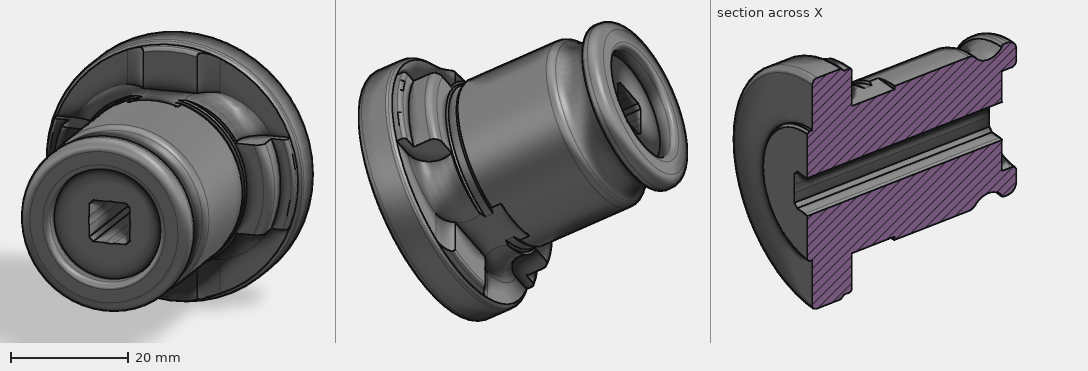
import cadquery as cq
import math

length = 44.5
flange_back = 43.48
flange_front = 36.65
pad_front = 34.95
lug_front = 30.25
neck_front = 27.83
flat_front = 25.97
groove_station = 5.95
rim_back = 3.2

boss_radius = 13.05
flange_radius = 23.15
pad_radius = 22.45
lug_radius = 19.9
neck_radius = 15.15
body_radius = 15.45
rim_radius = 15.33
groove_floor_radius = 13.45

boss_chamfer = 0.45
flange_back_fillet = 1.05
flange_front_chamfer = 0.5
pad_fillet = 0.7
lug_fillet = 1.5
neck_chamfer_front = 0.5
neck_chamfer_back = 0.35
rim_fillet = 2.0
rim_back_fillet = 0.45

groove_arc = 3.45
shoulder_fillet = 1.85

recess_radius = 9.95
recess_depth = 3.05
recess_lip_fillet = 1.05
drive_square = 7.3
drive_corner_chamfer = 0.75
drive_bore_radius = 3.75

flat_height = 14.75
lug_half_width = 7.95
cove_radius = 4.4
cove_lug_x = 17.6
cove_mid_x = 15.0
cove_mid_z = 11.45
cove_flat_x = 8.35

cos_45 = math.sqrt(0.5)


def quarter_arc_mid(centre, sign_r, sign_y, radius):
    """Middle point of a quarter-circle arc, given its centre and the corner it faces."""
    reach = radius * cos_45
    return (centre[0] + sign_r * reach, centre[1] + sign_y * reach)


def turned_body():
    """Revolve the full outline, as (radius, y) points, with the front recess included."""
    rim_centre = (rim_radius - rim_fillet, rim_fillet)
    rear_centre = (rim_radius - rim_back_fillet, rim_back - rim_back_fillet)
    lip_centre = (recess_radius + recess_lip_fillet, recess_lip_fillet)
    lug_centre = (lug_radius - lug_fillet, lug_front + lug_fillet)
    pad_centre = (pad_radius - pad_fillet, pad_front + pad_fillet)
    back_centre = (flange_radius - flange_back_fillet, flange_back - flange_back_fillet)

    groove_r = groove_floor_radius + groove_arc
    shoulder_r = body_radius - shoulder_fillet
    tilt = math.asin((groove_r - shoulder_r) / (groove_arc + shoulder_fillet))
    shoulder_y = groove_station + (groove_arc + shoulder_fillet) * math.cos(tilt)
    blend = (groove_r - groove_arc * math.sin(tilt), groove_station + groove_arc * math.cos(tilt))
    shoulder_mid_angle = (math.pi / 2 - tilt) / 2
    shoulder_mid = (
        shoulder_r + shoulder_fillet * math.cos(shoulder_mid_angle),
        shoulder_y - shoulder_fillet * math.sin(shoulder_mid_angle),
    )
    groove_end_r = groove_r - math.sqrt(groove_arc**2 - (groove_station - rim_back) ** 2)

    edge_fillet = (flange_radius - pad_radius - flange_front_chamfer) / (1 - cos_45)
    chamfer_start = (pad_radius + flange_front_chamfer, flange_front + flange_front_chamfer)
    edge_centre = (flange_radius - edge_fillet, chamfer_start[1] + edge_fillet * cos_45)
    edge_mid = (
        edge_centre[0] + edge_fillet * math.cos(math.pi / 8),
        edge_centre[1] - edge_fillet * math.sin(math.pi / 8),
    )

    return (
        cq.Workplane("XY")
        .moveTo(0, recess_depth)
        .lineTo(recess_radius, recess_depth)
        .lineTo(recess_radius, recess_lip_fillet)
        .threePointArc(quarter_arc_mid(lip_centre, -1, -1, recess_lip_fillet), (lip_centre[0], 0))
        .lineTo(rim_centre[0], 0)
        .threePointArc(quarter_arc_mid(rim_centre, 1, -1, rim_fillet), (rim_radius, rim_fillet))
        .lineTo(rim_radius, rear_centre[1])
        .threePointArc(quarter_arc_mid(rear_centre, 1, 1, rim_back_fillet), (rear_centre[0], rim_back))
        .lineTo(groove_end_r, rim_back)
        .threePointArc((groove_floor_radius, groove_station), blend)
        .threePointArc(shoulder_mid, (body_radius, shoulder_y))
        .lineTo(body_radius, neck_front)
        .lineTo(neck_radius, neck_front + neck_chamfer_front)
        .lineTo(neck_radius, lug_front - neck_chamfer_back)
        .lineTo(body_radius, lug_front)
        .lineTo(lug_centre[0], lug_front)
        .threePointArc(quarter_arc_mid(lug_centre, 1, -1, lug_fillet), (lug_radius, lug_centre[1]))
        .lineTo(lug_radius, pad_front)
        .lineTo(pad_centre[0], pad_front)
        .threePointArc(quarter_arc_mid(pad_centre, 1, -1, pad_fillet), (pad_radius, pad_centre[1]))
        .lineTo(pad_radius, flange_front)
        .lineTo(*chamfer_start)
        .threePointArc(edge_mid, (flange_radius, edge_centre[1]))
        .lineTo(flange_radius, back_centre[1])
        .threePointArc(quarter_arc_mid(back_centre, 1, 1, flange_back_fillet), (back_centre[0], flange_back))
        .lineTo(boss_radius, flange_back)
        .lineTo(boss_radius, length - boss_chamfer)
        .lineTo(boss_radius - boss_chamfer, length)
        .lineTo(0, length)
        .close()
        .revolve(360, (0, 0, 0), (0, 1, 0))
    )


def cove_outline(centre_x, height):
    """Closed cove section at the given height: a concave inner side, open outwards past the flange."""
    centre_y = flange_front - cove_radius
    inner_x = centre_x - math.sqrt(cove_radius**2 - (centre_y - lug_front) ** 2)
    outside = centre_x + flange_radius
    return (
        cq.Workplane("XY", origin=(0, 0, height))
        .moveTo(inner_x, lug_front)
        .threePointArc((centre_x - cove_radius, centre_y), (centre_x, flange_front))
        .lineTo(outside, flange_front)
        .lineTo(outside, lug_front)
        .close()
    )


def cove_cutter():
    """Space beside one lug: the cove section carried round the neck unturned, then straight out."""
    path = (
        cq.Workplane("XZ")
        .moveTo(cove_lug_x, lug_half_width)
        .threePointArc((cove_mid_x, cove_mid_z), (cove_flat_x, flat_height))
    )
    around_neck = cove_outline(cove_lug_x, lug_half_width).sweep(path, normal=cq.Vector(0, 0, 1))
    beside_pad = cove_outline(cove_flat_x, flat_height).extrude(flange_radius - flat_height)
    return around_neck.union(beside_pad)


def flat_cutter():
    """Block that leaves the upper flat, from the body back to the pad face."""
    width = 2 * flange_radius
    depth = pad_front - flat_front
    height = flange_radius - flat_height
    block = cq.Workplane("XY").box(width, depth, height, centered=(True, False, False))
    return block.translate((0, flat_front, flat_height))


def drive_hole():
    """Square through hole with chamfered corners, relieved by a slightly larger round bore."""
    square = (
        cq.Workplane("XZ")
        .rect(drive_square, drive_square)
        .extrude(-length)
        .edges("|Y")
        .chamfer(drive_corner_chamfer)
    )
    bore = cq.Workplane("XZ").circle(drive_bore_radius).extrude(-length)
    return square.union(bore)


result = turned_body()

upper_right = cove_cutter()
upper_left = upper_right.mirror("YZ")
for cutter in (upper_right, upper_left, flat_cutter()):
    result = result.cut(cutter).cut(cutter.mirror("XY"))

result = result.cut(drive_hole())